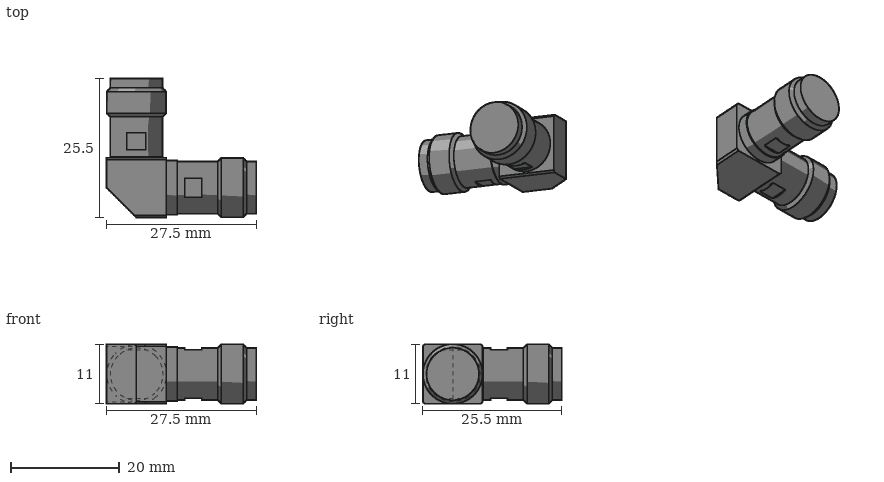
import cadquery as cq

BLOCK_SIDE = 11.0
BLOCK_CHAMFER = 0.38
CORNER_CUT = BLOCK_SIDE / 2

AXIS_OFFSET = BLOCK_SIDE / 2

COLLAR_DIAMETER = 10.0
COLLAR_LENGTH = 2.04

Y_CONNECTOR_GAP = 0.08
OVERALL_LENGTH = 27.5
CONNECTOR_LENGTH = OVERALL_LENGTH - BLOCK_SIDE - COLLAR_LENGTH
TUBE_DIAMETER = 9.62
NUT_DIAMETER = 10.95
NUT_BEVEL_WIDTH = 0.65
NUT_START = 7.4
NUT_LENGTH = 5.3
FLAT_START = 1.38
FLAT_LENGTH = 3.08
FLAT_DEPTH = 0.33


def aim_along_x(body, start):
    """Turn a body built along +Z to point along +X, starting at the given X."""
    return body.rotate((0, 0, 0), (0, 1, 0), 90).translate((start, AXIS_OFFSET, 0))


def aim_along_y(body, start):
    """Turn a body built along +Z to point along +Y, starting at the given Y."""
    turned = body.rotate((0, 0, 0), (0, 1, 0), 90).rotate((0, 0, 0), (0, 0, 1), 90)
    return turned.translate((AXIS_OFFSET, start, 0))


def make_block():
    """Chamfered square elbow block with one corner cut off and a round collar on the +X face."""
    prism = (
        cq.Workplane("XY")
        .box(BLOCK_SIDE, BLOCK_SIDE, BLOCK_SIDE)
        .translate((AXIS_OFFSET, AXIS_OFFSET, 0))
        .edges("|X")
        .chamfer(BLOCK_CHAMFER)
    )
    corner = (
        cq.Workplane("XY")
        .polyline([(0, 0), (CORNER_CUT, 0), (0, CORNER_CUT)])
        .close()
        .extrude(BLOCK_SIDE / 2, both=True)
    )
    collar = cq.Workplane("XY").circle(COLLAR_DIAMETER / 2).extrude(COLLAR_LENGTH)
    return prism.cut(corner).union(aim_along_x(collar, BLOCK_SIDE))


def make_connector():
    """Connector along +Z: tube with a bevelled nut ring and two opposite wrench flats."""
    tube = cq.Workplane("XY").circle(TUBE_DIAMETER / 2).extrude(CONNECTOR_LENGTH)
    bevel_height = (NUT_DIAMETER - TUBE_DIAMETER) / 2
    nut = (
        cq.Workplane("XY")
        .workplane(offset=NUT_START)
        .circle(NUT_DIAMETER / 2)
        .extrude(NUT_LENGTH)
        .faces("<Z or >Z")
        .chamfer(NUT_BEVEL_WIDTH, bevel_height)
    )
    connector = tube.union(nut)
    for side in (1, -1):
        flat = (
            cq.Workplane("XY")
            .box(FLAT_DEPTH, TUBE_DIAMETER, FLAT_LENGTH)
            .translate((side * (TUBE_DIAMETER - FLAT_DEPTH) / 2, 0, FLAT_START + FLAT_LENGTH / 2))
        )
        connector = connector.cut(flat)
    return connector


block = make_block()
x_connector = aim_along_x(make_connector(), BLOCK_SIDE + COLLAR_LENGTH)
y_connector = aim_along_y(make_connector(), BLOCK_SIDE + Y_CONNECTOR_GAP)

result = cq.Compound.makeCompound([block.val(), x_connector.val(), y_connector.val()])